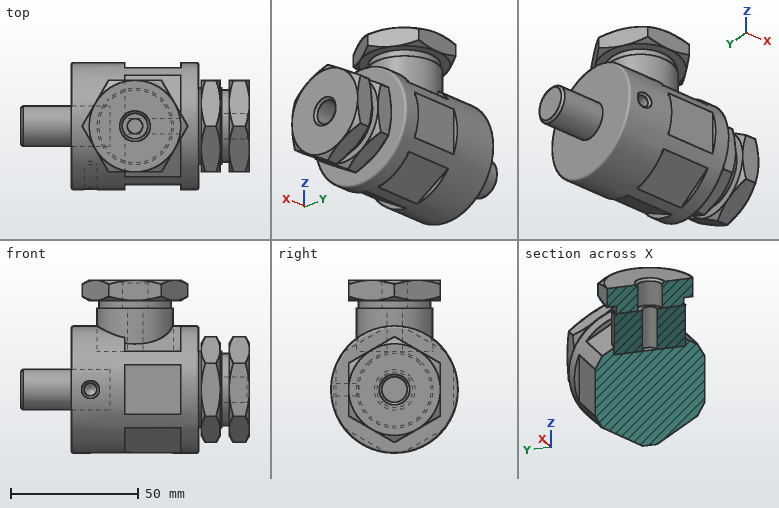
import cadquery as cq
import math

HOUSING_DIAMETER = 50.0
HOUSING_LENGTH = 50.0
HOUSING_EDGE_RADIUS = 1.0
FLATS_ACROSS = 46.0
FLATS_START = 21.0
FLATS_END = 43.0
HEX_SIDES = 6

SCREW_HOLE_DIAMETER = 5.0
SCREW_HOLE_DEPTH = 10.0
SCREW_HOLE_X = 7.5
SCREW_HOLE_CHAMFER = 1.0
DRILL_POINT_ANGLE = 118.0

SHAFT_DIAMETER = 16.0
SHAFT_LENGTH_OUTSIDE = 20.0
SHAFT_LENGTH_INSIDE = 15.0
SHAFT_CHAMFER = 1.0

SLEEVE_DIAMETER = 30.0
SLEEVE_X = HOUSING_LENGTH / 2
SLEEVE_HEIGHT_OUTSIDE = 7.0
SLEEVE_SEAT_Z = 15.0
SLEEVE_TOP_Z = HOUSING_DIAMETER / 2 + SLEEVE_HEIGHT_OUTSIDE
PORT_DIAMETER = 6.0

HEX_ACROSS_FLATS = 36.0
HEX_CHAMFER_ANGLE = 30.0

PLUG_NECK_DIAMETER = 28.5
PLUG_NECK_LENGTH = 3.0
PLUG_HEAD_LENGTH = 8.0
PLUG_BORE_DIAMETER = 10.0
PLUG_BORE_CHAMFER = 1.0

FITTING_LENGTH = 9.0
FITTING_HEX_OFFSET = 1.0
FITTING_HEX_LENGTH = 7.5
FITTING_END_X = HOUSING_LENGTH + FITTING_LENGTH


def rod_along_x(diameter, start, end):
    """Cylinder on the X axis from start to end."""
    return cq.Workplane("YZ", origin=(start, 0, 0)).circle(diameter / 2).extrude(end - start)


def rod_along_z(diameter, start, end):
    """Cylinder on the Z axis from start to end."""
    return cq.Workplane("XY").workplane(offset=start).circle(diameter / 2).extrude(end - start)


def hexagon(start, length):
    """Hexagon along Z with two corners on the X axis and its corners turned off at both ends."""
    flat_radius = HEX_ACROSS_FLATS / 2
    corner_radius = flat_radius / math.cos(math.pi / HEX_SIDES)
    chamfer_height = (corner_radius - flat_radius) * math.tan(math.radians(HEX_CHAMFER_ANGLE))
    end = start + length
    prism = cq.Workplane("XY").workplane(offset=start).polygon(HEX_SIDES, 2 * corner_radius).extrude(length)
    turned_blank = (
        cq.Workplane("XZ")
        .moveTo(0, start)
        .lineTo(flat_radius, start)
        .lineTo(corner_radius, start + chamfer_height)
        .lineTo(corner_radius, end - chamfer_height)
        .lineTo(flat_radius, end)
        .lineTo(0, end)
        .close()
        .revolve(360, (0, 0, 0), (0, 1, 0))
    )
    return prism.intersect(turned_blank)


def make_plug():
    """Plug standing on the XY plane, with its neck down."""
    plug_length = PLUG_NECK_LENGTH + PLUG_HEAD_LENGTH
    neck = rod_along_z(PLUG_NECK_DIAMETER, 0, PLUG_NECK_LENGTH)
    plug = neck.union(hexagon(PLUG_NECK_LENGTH, PLUG_HEAD_LENGTH))
    plug = plug.cut(rod_along_z(PLUG_BORE_DIAMETER, 0, plug_length))
    bore_rim = cq.selectors.RadiusNthSelector(0)
    return plug.faces(">Z").edges(bore_rim).chamfer(PLUG_BORE_CHAMFER)


def turn_to_x(body):
    """Turn a body from the Z axis onto the X axis, +Z becoming +X."""
    return body.rotate((0, 0, 0), (0, 1, 0), 90)


def make_wrench_flats_cutter():
    """Ring around the housing whose hexagonal opening leaves the wrench flats."""
    flats_length = FLATS_END - FLATS_START
    across_corners = FLATS_ACROSS / math.cos(math.pi / HEX_SIDES)
    ring = rod_along_x(2 * HOUSING_DIAMETER, FLATS_START, FLATS_END)
    opening = (
        cq.Workplane("YZ", origin=(FLATS_START, 0, 0))
        .polygon(HEX_SIDES, across_corners)
        .extrude(flats_length)
        .rotate((0, 0, 0), (1, 0, 0), 180 / HEX_SIDES)
    )
    return ring.cut(opening)


def make_screw_hole():
    """Blind drilled hole along Y with a conical point."""
    hole_radius = SCREW_HOLE_DIAMETER / 2
    surface_y = -HOUSING_DIAMETER / 2
    bottom_y = surface_y + SCREW_HOLE_DEPTH
    point_length = hole_radius / math.tan(math.radians(DRILL_POINT_ANGLE / 2))
    return (
        cq.Workplane("XY")
        .moveTo(0, surface_y)
        .lineTo(hole_radius, surface_y)
        .lineTo(hole_radius, bottom_y)
        .lineTo(0, bottom_y + point_length)
        .close()
        .revolve(360, (0, 0, 0), (0, 1, 0))
        .translate((SCREW_HOLE_X, 0, 0))
    )


def make_housing():
    body = rod_along_x(HOUSING_DIAMETER, 0, HOUSING_LENGTH)
    body = body.edges("%CIRCLE").fillet(HOUSING_EDGE_RADIUS)
    body = body.cut(make_wrench_flats_cutter())
    body = body.cut(make_screw_hole())
    screw_hole_rim = cq.selectors.NearestToPointSelector((SCREW_HOLE_X, -HOUSING_DIAMETER / 2, 0))
    body = body.edges(screw_hole_rim).chamfer(SCREW_HOLE_CHAMFER)
    body = body.cut(rod_along_x(SHAFT_DIAMETER, 0, SHAFT_LENGTH_INSIDE))
    sleeve_seat = rod_along_z(SLEEVE_DIAMETER, SLEEVE_SEAT_Z, SLEEVE_TOP_Z)
    return body.cut(sleeve_seat.translate((SLEEVE_X, 0, 0)))


def make_shaft():
    shaft = rod_along_x(SHAFT_DIAMETER, -SHAFT_LENGTH_OUTSIDE, SHAFT_LENGTH_INSIDE)
    return shaft.faces("<X").chamfer(SHAFT_CHAMFER)


def make_sleeve():
    sleeve = rod_along_z(SLEEVE_DIAMETER, SLEEVE_SEAT_Z, SLEEVE_TOP_Z)
    sleeve = sleeve.cut(rod_along_z(PORT_DIAMETER, SLEEVE_SEAT_Z, SLEEVE_TOP_Z))
    return sleeve.translate((SLEEVE_X, 0, 0))


def make_fitting():
    """Collar and hexagon that join the rear plug to the housing."""
    collar = rod_along_z(SLEEVE_DIAMETER, 0, FITTING_LENGTH)
    fitting = collar.union(hexagon(FITTING_HEX_OFFSET, FITTING_HEX_LENGTH))
    return turn_to_x(fitting).translate((HOUSING_LENGTH, 0, 0))


housing = make_housing()
shaft = make_shaft()
sleeve = make_sleeve()
fitting = make_fitting()

top_plug = make_plug().translate((SLEEVE_X, 0, SLEEVE_TOP_Z))
rear_plug = turn_to_x(make_plug()).translate((FITTING_END_X, 0, 0))
plugs = [top_plug, rear_plug]

result = cq.Compound.makeCompound(
    [
        housing.val(),
        shaft.val(),
        sleeve.val(),
        fitting.val(),
        *[plug.val() for plug in plugs],
    ]
)